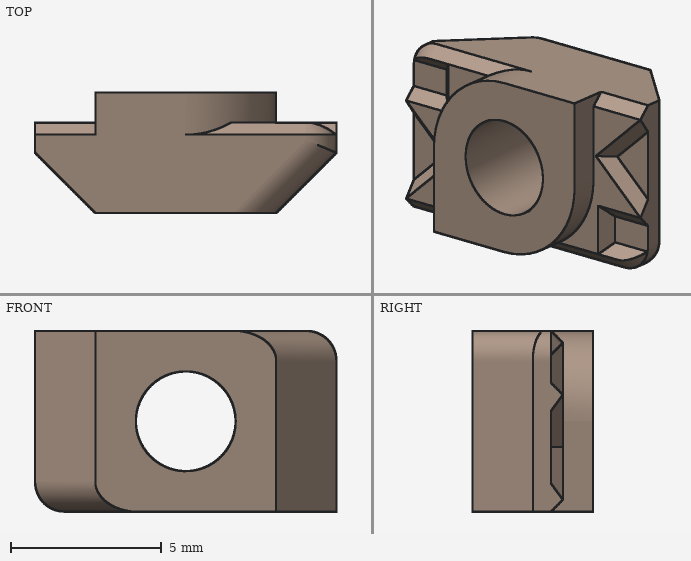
import cadquery as cq

length = 10.0
height = 6.0
flange_depth = 3.0
total_depth = 4.0
bevel = 2.0
corner_radius = 1.0
bore_diameter = 3.3
boss_width = 6.0
tooth_height = 0.4
flank_angle = 45.0

lower_crest = tooth_height
middle_crest = 2.12
upper_crest = height - tooth_height
notch_reach = 1.9
slot_reach = 1.8
overrun = 1.0

mid_x = length / 2
mid_z = height / 2
root_y = flange_depth - tooth_height


def xz_plane(y):
    """Plane whose local axes are X and Z, with its normal toward -Y."""
    return cq.Workplane("XZ", origin=(0, y, 0))


def half_turn(shape):
    """Turn a shape half a turn about the bore axis."""
    return shape.rotate((mid_x, 0, mid_z), (mid_x, 1, mid_z), 180)


def make_flange():
    """Bevelled bar with two diagonally opposite rounded ends."""
    bar = (
        cq.Workplane("XY")
        .moveTo(bevel, 0)
        .lineTo(length - bevel, 0)
        .lineTo(length, bevel)
        .lineTo(length, flange_depth)
        .lineTo(0, flange_depth)
        .lineTo(0, bevel)
        .close()
        .extrude(height)
    )
    end_y = (bevel + flange_depth) / 2
    bevel_mid = bevel / 2
    rounded_edges = (
        bar.edges(cq.NearestToPointSelector((length, end_y, height)))
        .add(bar.edges(cq.NearestToPointSelector((length - bevel_mid, bevel_mid, height))))
        .add(bar.edges(cq.NearestToPointSelector((0, end_y, 0))))
        .add(bar.edges(cq.NearestToPointSelector((bevel_mid, bevel_mid, 0))))
    )
    return rounded_edges.fillet(corner_radius)


def make_boss():
    """Boss with two square corners and two fully rounded ones."""
    radius = boss_width / 2
    left = mid_x - radius
    right = mid_x + radius
    diagonal = radius / 2**0.5
    return (
        xz_plane(total_depth)
        .moveTo(left, mid_z)
        .lineTo(left, height)
        .lineTo(mid_x, height)
        .threePointArc((mid_x + diagonal, mid_z + diagonal), (right, mid_z))
        .lineTo(right, 0)
        .lineTo(mid_x, 0)
        .threePointArc((mid_x - diagonal, mid_z - diagonal), (left, mid_z))
        .close()
        .extrude(total_depth - root_y)
    )


def make_edge_slope():
    """Cutter that slopes the top rear edge and follows its rounded corner."""
    corner_x = length - corner_radius
    corner_z = height - corner_radius
    straight = (
        cq.Workplane("YZ")
        .moveTo(root_y, height)
        .lineTo(flange_depth, height)
        .lineTo(flange_depth, height - tooth_height)
        .close()
        .extrude(corner_x)
    )
    cone = (
        xz_plane(root_y)
        .center(corner_x, corner_z)
        .circle(corner_radius)
        .extrude(-tooth_height, taper=flank_angle)
    )
    corner = (
        xz_plane(flange_depth)
        .moveTo(corner_x, corner_z)
        .rect(corner_radius, corner_radius, centered=False)
        .extrude(tooth_height)
        .cut(cone)
    )
    return straight.union(corner)


def make_notch():
    """V-shaped pocket with sloping walls, open at the left end."""
    tip_z = (middle_crest + upper_crest) / 2
    spread = (upper_crest - tip_z) * (notch_reach + overrun) / notch_reach
    return (
        xz_plane(flange_depth)
        .moveTo(notch_reach, tip_z)
        .lineTo(-overrun, tip_z + spread)
        .lineTo(-overrun, tip_z - spread)
        .close()
        .extrude(tooth_height, taper=flank_angle)
    )


def make_slot():
    """Straight pocket with sloping walls, open at the left end."""
    return (
        xz_plane(flange_depth)
        .moveTo(-overrun, lower_crest)
        .rect(slot_reach + overrun, middle_crest - lower_crest, centered=False)
        .extrude(tooth_height, taper=flank_angle)
    )


result = make_flange()
for make_cutter in (make_edge_slope, make_notch, make_slot):
    cutter = make_cutter()
    result = result.cut(cutter).cut(half_turn(cutter))

bore = xz_plane(total_depth).center(mid_x, mid_z).circle(bore_diameter / 2).extrude(total_depth)
result = result.union(make_boss()).cut(bore)